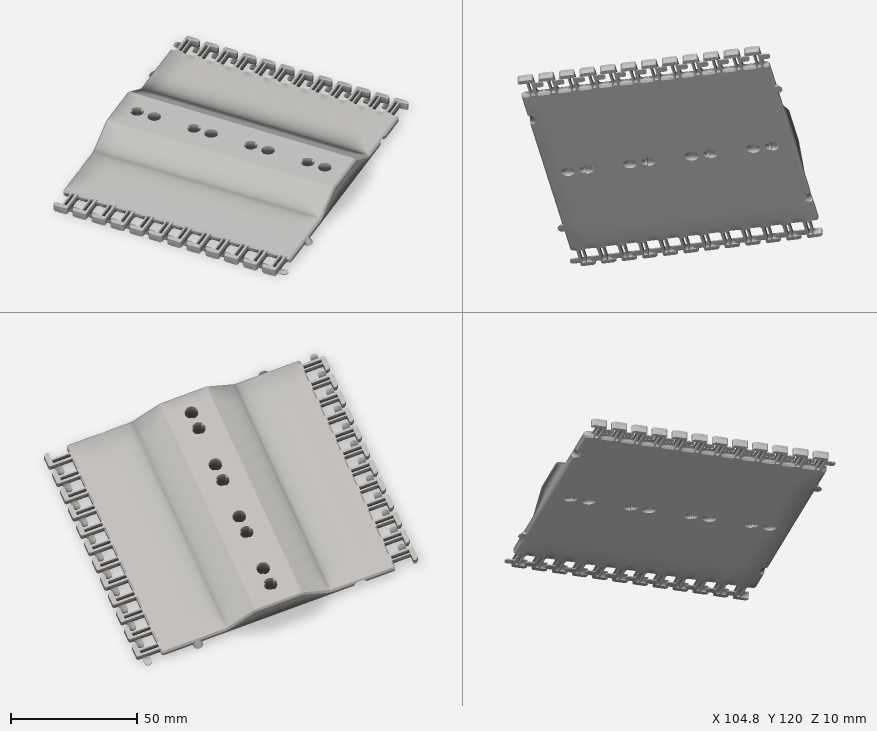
import cadquery as cq

overall_width = 104.8
overall_length = 120
body_side = 100.3
plate_height = 3.0
bevel = 0.7
corner_radius = 1.0
pattern_length = 100.0

ridge_height = 10.0
ridge_top_half = 10.1
ridge_foot_half = 22.2

hole_diameter = 5.4
hole_spacing = 7.5
pair_count = 4
pair_pitch = pattern_length / pair_count
grip_rib_count = 3
grip_rib_diameter = 1.2
grip_rib_bevel = 0.5

finger_count = 12
finger_pitch = pattern_length / finger_count
finger_margin = 2.0
stem_width = 1.0
spring_offset = 2.3
spring_width = 0.6
bar_length = 6.1
bar_thickness = 2.0
bar_tip_chamfer = 0.8
bar_corner_chamfer = 0.5
root_flare = 0.6
peg_length = 3.7
peg_width = 3.0
peg_thickness = 0.5
peg_end_radius = 1.1
peg_bar_clearance = 0.2

lug_y = 34.9
lug_reach = (overall_width - body_side) / 2
lug_width = 4.0
lug_nose_width = 1.7
lug_nose_depth = 1.0
socket_clearance = 0.5

body_half = body_side / 2
length_half = overall_length / 2
overlap = 2 * bevel


def make_body():
    """Plate with a trapezoid ridge, rounded corners and bevelled rims at top and bottom."""
    right_side = [
        (body_half, 0),
        (body_half, plate_height),
        (ridge_foot_half, plate_height),
        (ridge_top_half, ridge_height),
    ]
    left_side = [(-y, z) for y, z in reversed(right_side)]
    body = (
        cq.Workplane("YZ")
        .polyline(right_side + left_side)
        .close()
        .extrude(body_half, both=True)
        .edges("|Z")
        .fillet(corner_radius)
    )
    return body.faces("<X or >X").edges("not |Z").chamfer(bevel)


def prism(points, height):
    return cq.Workplane("XY").polyline(points).close().extrude(height)


def block(x_low, x_high, y_low, y_high, height):
    corners = [(x_low, y_low), (x_high, y_low), (x_high, y_high), (x_low, y_high)]
    return prism(corners, height)


def make_finger(x):
    """Hooked finger on the +Y edge whose stem starts at the given X."""
    bar_inner = length_half - bar_thickness
    root = body_half - overlap
    spring_left = x + spring_offset
    spring_right = spring_left + spring_width
    stem = block(x, x + stem_width, root, bar_inner, plate_height)
    spring = block(spring_left, spring_right, root, bar_inner, plate_height)
    flare_line = body_half - bevel
    root_pad = prism(
        [
            (x - root_flare, flare_line),
            (x, body_half),
            (spring_right, body_half),
            (spring_right + root_flare, flare_line),
        ],
        plate_height,
    )
    bar_end = x + bar_length
    bar = prism(
        [
            (x, bar_inner),
            (bar_end, bar_inner),
            (bar_end, length_half - bar_tip_chamfer),
            (bar_end - bar_tip_chamfer, length_half),
            (x + bar_corner_chamfer, length_half),
            (x, length_half - bar_corner_chamfer),
        ],
        plate_height,
    )
    peg_top = bar_inner - peg_bar_clearance
    peg = (
        block(x - peg_length, x, peg_top - peg_width, peg_top, peg_thickness)
        .edges("|Z and <X")
        .fillet(peg_end_radius)
    )
    return stem.union(spring).union(root_pad).union(bar).union(peg)


def make_finger_row():
    """All fingers of the +Y edge."""
    first_x = finger_margin - pattern_length / 2
    row = make_finger(first_x)
    for index in range(1, finger_count):
        row = row.union(make_finger(first_x + index * finger_pitch))
    return row


def slanted_lug(wall_x, clearance):
    """Bevelled prism leaning at 45 degrees, pointing to -X and reaching furthest at the base."""
    reach = lug_reach + clearance
    tip_x = wall_x - reach
    shoulder_x = tip_x + lug_nose_depth
    root_x = wall_x + overlap
    half_width = lug_width / 2 + clearance
    nose_half = lug_nose_width / 2 + clearance
    outline = [
        (root_x, -half_width),
        (shoulder_x, -half_width),
        (tip_x, -nose_half),
        (tip_x, nose_half),
        (shoulder_x, half_width),
        (root_x, half_width),
    ]
    raised_outline = [(x + reach, y) for x, y in outline]
    return (
        cq.Workplane("XY")
        .polyline(outline)
        .close()
        .workplane(offset=reach)
        .polyline(raised_outline)
        .close()
        .loft(ruled=True)
    )


def half_turn(shape):
    return shape.rotate((0, 0, 0), (0, 0, 1), 180)


def make_plain_hole():
    return cq.Workplane("XY").circle(hole_diameter / 2).extrude(ridge_height)


def make_gripping_hole():
    """Hole whose wall carries evenly spaced round ribs with bevelled tops."""
    ribs = (
        cq.Workplane("XY")
        .polarArray(hole_diameter / 2, 180, 360, grip_rib_count)
        .circle(grip_rib_diameter / 2)
        .extrude(ridge_height)
        .faces(">Z")
        .chamfer(grip_rib_bevel)
    )
    return make_plain_hole().cut(ribs)


def cut_hole_pairs(shape):
    """Cut one gripping hole and one plain hole per pair along the ridge."""
    for index in range(pair_count):
        pair_x = (index + 0.5) * pair_pitch - pattern_length / 2
        shape = shape.cut(make_gripping_hole().translate((pair_x - hole_spacing / 2, 0, 0)))
        shape = shape.cut(make_plain_hole().translate((pair_x + hole_spacing / 2, 0, 0)))
    return shape


body = make_body()
lug = slanted_lug(-body_half, 0).translate((0, lug_y, 0))
socket = slanted_lug(body_half, socket_clearance).translate((0, lug_y, 0))
finger_row = make_finger_row()

body = body.cut(socket).cut(half_turn(socket))
body = cut_hole_pairs(body)
result = body.union(lug).union(half_turn(lug)).union(finger_row).union(half_turn(finger_row))